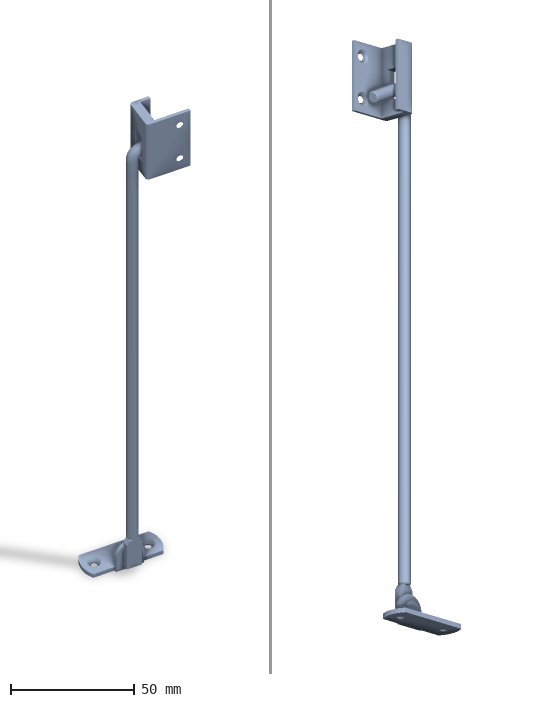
import cadquery as cq
import math

TOTAL_HEIGHT = 246.7
ROD_DIAMETER = 5.2

SCREW_DIAMETER = 3.0
SCREW_HEAD_DIAMETER = 6.0
COUNTERSINK_ANGLE = 90

FOOT_LEFT = -16.5
FOOT_LENGTH = 36.0
FOOT_THICKNESS = 2.0
FOOT_END_BULGE = 2.0
FOOT_HOLE_SPACING = 24.7
EAR_THICKNESS = 1.7
EAR_RIGHT = -1.7
EAR_LEFT = EAR_RIGHT - EAR_THICKNESS
EAR_WIDTH = 12.5
FOOT_BEND_RADIUS = 1.2

PIVOT_HEIGHT = 7.6
RIVET_HEAD_DIAMETER = 6.7
RIVET_HEAD_THICKNESS = 1.5
RIVET_SHANK_DIAMETER = 3.5
EYE_LEFT = -1.2
EYE_THICKNESS = 3.2
EYE_RIGHT = EYE_LEFT + EYE_THICKNESS
EYE_BOTTOM = 3.7
EYE_WIDTH = 7.0
EYE_SHOULDER_HEIGHT = 16.3

ROD_BOTTOM = 18.5
ROD_END_CHAMFER = 0.5
BEND_START = 223.2
BEND_RADIUS = 4.7
HOOK_DROP_ANGLE = 26
HOOK_LENGTH = 12.8

BRACKET_WIDTH = 15.5
BRACKET_HEIGHT = 29.8
BRACKET_BOTTOM = TOTAL_HEIGHT - BRACKET_HEIGHT
BRACKET_RIGHT = 7.6
BRACKET_LEFT = BRACKET_RIGHT - BRACKET_WIDTH
BRACKET_FRONT = 2.7
BRACKET_THICKNESS = 1.5
LONG_WALL_LENGTH = 20.0
SHORT_WALL_LENGTH = 9.0
BRACKET_HOLE_SPACING = 18.0
BRACKET_HOLE_INSET = 5.0
INSERT_THICKNESS = 2.7
SLOT_WIDTH = 6.0
SLOT_HEIGHT = 13.3
SLOT_TOP = TOTAL_HEIGHT - 9.9


def box(x_min, x_max, y_min, y_max, z_min, z_max):
    size = (x_max - x_min, y_max - y_min, z_max - z_min)
    return cq.Workplane().box(*size, centered=False).translate((x_min, y_min, z_min))


def x_cylinder(diameter, x_min, x_max):
    """Cylinder on the pivot axis, which runs along X."""
    disc = cq.Workplane("YZ", origin=(x_min, 0, PIVOT_HEIGHT)).circle(diameter / 2)
    return disc.extrude(x_max - x_min)


def make_foot():
    half_length = FOOT_LENGTH / 2
    corner = half_length - FOOT_END_BULGE
    middle = (FOOT_LEFT + EAR_LEFT) / 2
    plate = (
        cq.Workplane()
        .moveTo(FOOT_LEFT, -corner)
        .threePointArc((middle, -half_length), (EAR_LEFT, -corner))
        .lineTo(EAR_LEFT, corner)
        .threePointArc((middle, half_length), (FOOT_LEFT, corner))
        .close()
        .extrude(FOOT_THICKNESS)
        .faces(">Z")
        .workplane(origin=(middle, 0, 0))
        .rarray(2.5, FOOT_HOLE_SPACING, 1, 2)
        .cskHole(SCREW_DIAMETER, SCREW_HEAD_DIAMETER, COUNTERSINK_ANGLE)
    )
    half_ear = EAR_WIDTH / 2
    ear = box(EAR_LEFT, EAR_RIGHT, -half_ear, half_ear, 0, PIVOT_HEIGHT)
    ear = ear.edges("|Y and >X and <Z").fillet(FOOT_BEND_RADIUS)
    ear = ear.union(x_cylinder(EAR_WIDTH, EAR_LEFT, EAR_RIGHT))
    return plate.union(ear).cut(x_cylinder(RIVET_SHANK_DIAMETER, EAR_LEFT, EAR_RIGHT))


def make_rivet():
    head = x_cylinder(RIVET_HEAD_DIAMETER, EAR_LEFT - RIVET_HEAD_THICKNESS, EAR_LEFT)
    return head.union(x_cylinder(RIVET_SHANK_DIAMETER, EAR_LEFT, EYE_RIGHT))


def make_eye():
    """Flat strap that tapers at the top to meet the end of the rod."""
    half_width = EYE_WIDTH / 2
    half_top = ROD_DIAMETER / 2 - ROD_END_CHAMFER
    eye = (
        cq.Workplane("YZ", origin=(EYE_LEFT, 0, 0))
        .moveTo(-half_width, EYE_BOTTOM)
        .lineTo(-half_width, EYE_SHOULDER_HEIGHT)
        .lineTo(-half_top, ROD_BOTTOM)
        .lineTo(half_top, ROD_BOTTOM)
        .lineTo(half_width, EYE_SHOULDER_HEIGHT)
        .lineTo(half_width, EYE_BOTTOM)
        .close()
        .extrude(EYE_THICKNESS)
    )
    return eye.cut(x_cylinder(RIVET_SHANK_DIAMETER, EYE_LEFT, EYE_RIGHT))


def make_rod():
    """Straight rod whose top bends over into a hook that drops toward +Y."""
    drop = math.radians(HOOK_DROP_ANGLE)

    def bend_point(angle):
        return (
            BEND_RADIUS * (1 - math.cos(angle)),
            BEND_START + BEND_RADIUS * math.sin(angle),
        )

    bend_middle = bend_point(math.pi / 4)
    bend_end = bend_point(math.pi / 2 + drop)
    tip = (
        bend_end[0] + HOOK_LENGTH * math.cos(drop),
        bend_end[1] - HOOK_LENGTH * math.sin(drop),
    )
    path = (
        cq.Workplane("YZ")
        .moveTo(0, ROD_BOTTOM)
        .lineTo(0, BEND_START)
        .threePointArc(bend_middle, bend_end)
        .lineTo(*tip)
    )
    rod = cq.Workplane(origin=(0, 0, ROD_BOTTOM)).circle(ROD_DIAMETER / 2).sweep(path)
    return rod.faces("<Z or >Y").chamfer(ROD_END_CHAMFER)


def cut_slot(body):
    """Open the slot through which the hook passes."""
    half_slot = SLOT_WIDTH / 2
    slot_back = BRACKET_FRONT + SHORT_WALL_LENGTH
    slot_bottom = SLOT_TOP - SLOT_HEIGHT
    return body.cut(box(-half_slot, half_slot, BRACKET_FRONT, slot_back, slot_bottom, SLOT_TOP))


def make_bracket():
    inner_left = BRACKET_LEFT + BRACKET_THICKNESS
    inner_right = BRACKET_RIGHT - BRACKET_THICKNESS
    inner_front = BRACKET_FRONT + BRACKET_THICKNESS
    long_end = BRACKET_FRONT + LONG_WALL_LENGTH
    short_end = BRACKET_FRONT + SHORT_WALL_LENGTH
    channel = (
        cq.Workplane(origin=(0, 0, BRACKET_BOTTOM))
        .polyline([
            (BRACKET_LEFT, BRACKET_FRONT),
            (BRACKET_RIGHT, BRACKET_FRONT),
            (BRACKET_RIGHT, long_end),
            (inner_right, long_end),
            (inner_right, inner_front),
            (inner_left, inner_front),
            (inner_left, short_end),
            (BRACKET_LEFT, short_end),
        ])
        .close()
        .extrude(BRACKET_HEIGHT)
        .edges("|Z and <Y")
        .fillet(BRACKET_THICKNESS)
    )
    hole_center = (inner_right, long_end - BRACKET_HOLE_INSET, BRACKET_BOTTOM + BRACKET_HEIGHT / 2)
    inner_face = cq.Plane(origin=hole_center, xDir=(0, 1, 0), normal=(-1, 0, 0))
    channel = (
        channel.copyWorkplane(cq.Workplane(inner_face))
        .rarray(2.5, BRACKET_HOLE_SPACING, 1, 2)
        .cskHole(SCREW_DIAMETER, SCREW_HEAD_DIAMETER, COUNTERSINK_ANGLE, depth=BRACKET_THICKNESS)
    )
    return cut_slot(channel)


def make_insert():
    """Slotted backing plate inside the channel, behind its front web."""
    front = BRACKET_FRONT + BRACKET_THICKNESS
    plate = box(
        BRACKET_LEFT + BRACKET_THICKNESS, BRACKET_RIGHT - BRACKET_THICKNESS,
        front, front + INSERT_THICKNESS,
        BRACKET_BOTTOM, TOTAL_HEIGHT,
    )
    return cut_slot(plate)


foot = make_foot()
rivet = make_rivet()
eye = make_eye()
rod = make_rod()
bracket = make_bracket()
insert = make_insert()

result = cq.Compound.makeCompound([
    foot.val(),
    rivet.val(),
    eye.val(),
    rod.val(),
    bracket.val(),
    insert.val(),
])